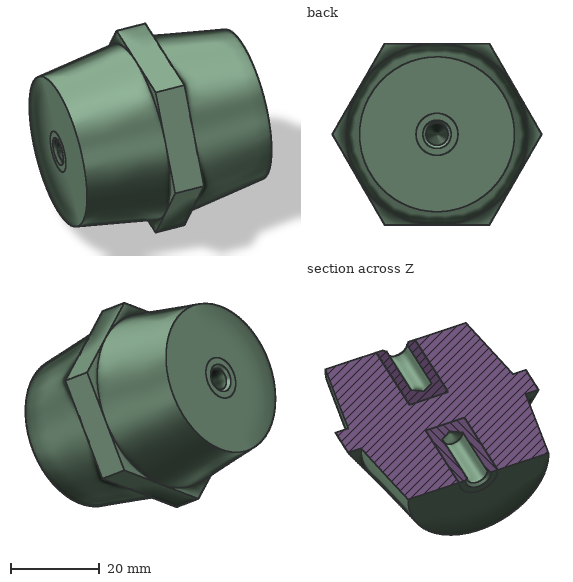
import cadquery as cq
import math

length = 45.0
end_diameter = 35.0
hex_across_flats = 41.0
hex_thickness = 7.0
waist_diameter = hex_across_flats

insert_diameter = 9.5
insert_length = 18.0
hole_diameter = 5.0
hole_depth = 14.0
hole_mouth_diameter = 6.4
drill_point_angle = 118.0

half_length = length / 2
half_hex = hex_thickness / 2
hex_across_corners = hex_across_flats / math.cos(math.pi / 6)


def revolve_about_y(profile_points):
    """Revolve a closed (radius, y) outline about the Y axis."""
    return cq.Workplane("XY").polyline(profile_points).close().revolve(360, (0, 0, 0), (0, 1, 0))


def make_housing():
    """Double cone with a hexagonal collar and a blind pocket for an insert in each end."""
    barrel = revolve_about_y([
        (0, -half_length),
        (end_diameter / 2, -half_length),
        (waist_diameter / 2, -half_hex),
        (waist_diameter / 2, half_hex),
        (end_diameter / 2, half_length),
        (0, half_length),
    ])
    collar = cq.Workplane("XZ").polygon(6, hex_across_corners).extrude(half_hex, both=True)
    body = barrel.union(collar)
    for end_face in ("<Y", ">Y"):
        body = body.faces(end_face).workplane(centerOption="CenterOfBoundBox")
        body = body.circle(insert_diameter / 2).cutBlind(-insert_length)
    return body


def make_insert(side):
    """Insert at one end: side is -1 for the -Y end and +1 for the +Y end."""
    outer_radius = insert_diameter / 2
    hole_radius = hole_diameter / 2
    mouth_radius = hole_mouth_diameter / 2
    mouth_depth = mouth_radius - hole_radius
    point_depth = hole_radius / math.tan(math.radians(drill_point_angle / 2))
    radius_and_depth = [
        (0, insert_length),
        (outer_radius, insert_length),
        (outer_radius, 0),
        (mouth_radius, 0),
        (hole_radius, mouth_depth),
        (hole_radius, hole_depth),
        (0, hole_depth + point_depth),
    ]
    return revolve_about_y([(radius, side * (half_length - depth)) for radius, depth in radius_and_depth])


housing = make_housing()
inserts = [make_insert(side) for side in (-1, 1)]

result = cq.Compound.makeCompound([housing.val(), *[insert.val() for insert in inserts]])